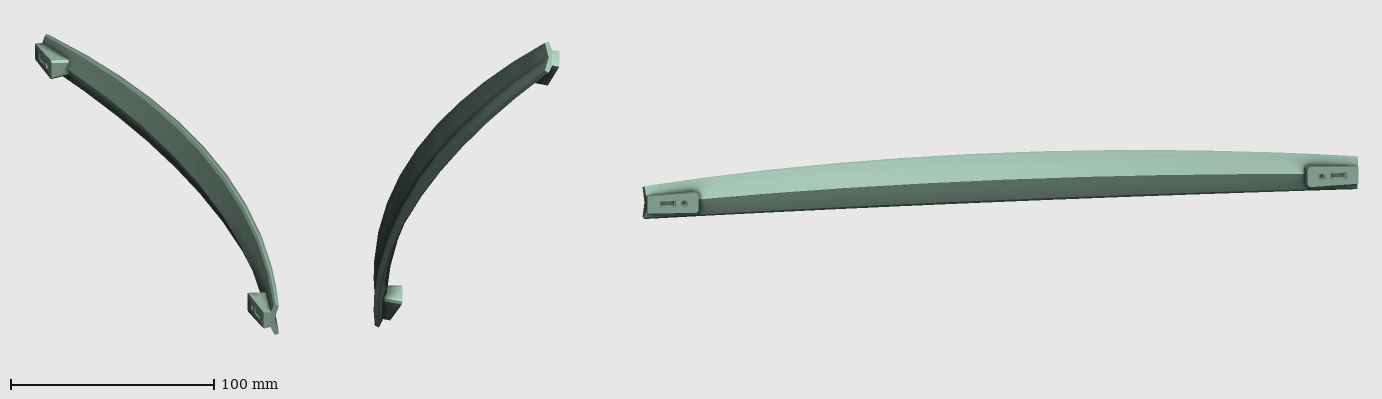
import cadquery as cq
import math

length = 359.0
depth = 32.5
back_rise = 25.0
half_length = length / 2
bow_radius = (half_length**2 + back_rise**2) / (2 * back_rise)
end_angle = math.asin(half_length / bow_radius)

mid_height = 24.8
mid_thickness = 8.5
end_height = 16.5
end_thickness = 5.7
groove_ratio = 0.36
rim_lean = 0.9
rim_ratio = 0.3
bevel_ratio = 0.14
section_count = 9

foot_inner_x = 153.0
foot_outer_x = 178.5
foot_inner_width = 10.0
foot_outer_width = 8.5
foot_corner_chamfer = 1.0
foot_height = 14.5
foot_draft_angle = 6

recess_depth = 3.5
mouth_depth = 1.5
ledge = 0.7
slot_x = 168.3
slot_length = 8.3
slot_width = 3.5
hole_x = 160.0
hole_diameter = 3.5

foot_face_y = -depth / 2
bow_center_y = depth / 2 - bow_radius


def bar_section(angle):
    """Chevron wire, square to the bow, at an angle from mid-span."""
    taper = (angle / end_angle) ** 2
    half_height = (mid_height + (end_height - mid_height) * taper) / 2
    thickness = mid_thickness + (end_thickness - mid_thickness) * taper
    rim = rim_ratio * thickness
    bevel = bevel_ratio * thickness
    upper = [
        (half_height - rim_lean, 0),
        (half_height, -rim),
        (half_height - bevel, -rim - bevel),
    ]
    lower = [(-z, radial) for z, radial in reversed(upper)]
    outline = [(0, -groove_ratio * thickness)] + upper + [(0, -thickness)] + lower
    points = []
    for z, radial in outline:
        radius = bow_radius + radial
        points.append(cq.Vector(radius * math.sin(angle), bow_center_y + radius * math.cos(angle), z))
    return cq.Wire.makePolygon(points, close=True)


def make_bar():
    steps = [2 * i / (section_count - 1) - 1 for i in range(section_count)]
    return cq.Workplane(cq.Solid.makeLoft([bar_section(step * end_angle) for step in steps]))


def foot_outline(y, narrowing):
    """Foot outline in the plane at y, pulled in by the narrowing on each long side."""
    half_in = foot_inner_width / 2 - narrowing
    half_out = foot_outer_width / 2 - narrowing
    inset = foot_corner_chamfer
    upper = [
        (foot_outer_x, half_out),
        (foot_inner_x + inset, half_in),
        (foot_inner_x, half_in - inset),
    ]
    lower = [(x, -z) for x, z in reversed(upper)]
    return cq.Wire.makePolygon([cq.Vector(x, y, z) for x, z in upper + lower], close=True)


def make_foot():
    """Right-hand foot: a drafted, wedge-shaped block that ends inside the bar."""
    narrowing = foot_height * math.tan(math.radians(foot_draft_angle))
    wires = [foot_outline(foot_face_y, 0), foot_outline(foot_face_y + foot_height, narrowing)]
    block = cq.Workplane(cq.Solid.makeLoft(wires, True))
    bar_middle = bow_radius - end_thickness / 2
    inside_bow = cq.Workplane("XY", origin=(0, bow_center_y, -mid_height)).circle(bar_middle)
    return block.intersect(inside_bow.extrude(2 * mid_height))


def make_recesses():
    """Slot and round hole of the right-hand foot, each stepped to a smaller size inside."""
    face = cq.Workplane("XZ", origin=(0, foot_face_y, 0))
    at_slot = face.center(slot_x, 0)
    at_hole = face.center(hole_x, 0)
    slot_mouth = at_slot.rect(slot_length, slot_width).extrude(-mouth_depth)
    slot = at_slot.rect(slot_length - 2 * ledge, slot_width - 2 * ledge).extrude(-recess_depth)
    hole_mouth = at_hole.circle(hole_diameter / 2).extrude(-mouth_depth)
    hole = at_hole.circle(hole_diameter / 2 - ledge).extrude(-recess_depth)
    return slot_mouth.union(slot).union(hole_mouth).union(hole)


foot = make_foot()
recesses = make_recesses()
result = make_bar().union(foot).union(foot.mirror("YZ"))
result = result.cut(recesses).cut(recesses.mirror("YZ"))